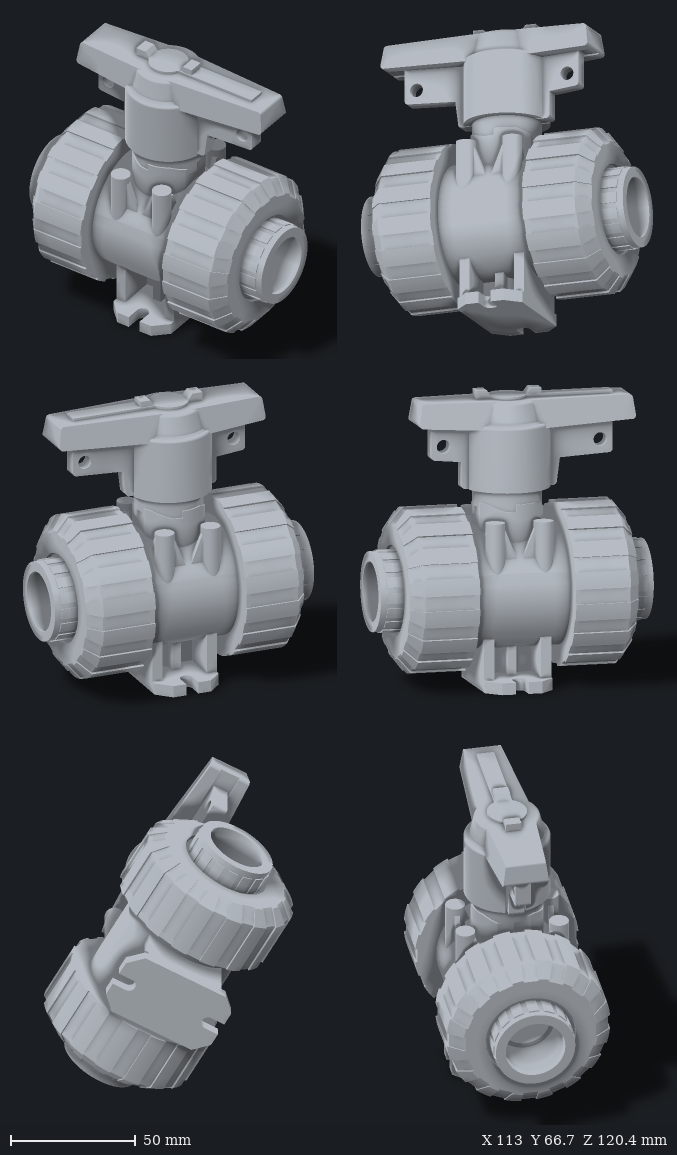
import cadquery as cq
import math


HALF_LENGTH = 56.5
NUT_INNER_X = 19.9
NUT_OUTER_X = 47.3
HOUSING_END_X = 36.1
FLANGE_THICKNESS = 4.8
FLANGE_END_X = HOUSING_END_X + FLANGE_THICKNESS

BARREL_R = 24.8
BORE_R = 10.1

FOOT_BOTTOM_Z = -40.1
FOOT_PLATE_THICKNESS = 4.8
FOOT_HALF_X = 14.0
FOOT_HALF_Y = 24.1
FOOT_CORNER = 5.8
FOOT_SLOT_R = 2.6
FOOT_SLOT_CENTRE_Y = 18.1
FOOT_WALL_THICKNESS = 4.3
FOOT_WALL_HALF_Y = 16.4
FOOT_PANEL_THICKNESS = 2.4
FOOT_BOSS_R = 4.2
FOOT_RIB_THICKNESS = 3.6
FOOT_RIB_HALF_Y = 8.2

NECK_R = 14.7
NECK_HALF_X = 13.0
NECK_TOP_Z = 35.3
RAMP_DROP = 2.9
RAMP_COUNT = 4
RAMP_START_ANGLE = 37.0
RAMP_END_ANGLE = 73.0
RAMP_STEP_ANGLE = 360.0 / RAMP_COUNT

STEM_R = 14.0
STEM_TOP_Z = 51.9
STEM_LOW_Z = 29.9
STEM_HIGH_Z = 33.2

POST_R = 4.0
POST_X = 10.0
POST_Y = 19.1
POST_TOP_Z = 29.3
GUSSET_THICKNESS = 2.2
GUSSET_TOP_Z = 26.1
GUSSET_SLOPE = 2.45
SIDE_GUSSET_X = 11.8

NUT_R = 33.5
NUT_CHAMFER_X = 4.8
NUT_CHAMFER_R = 6.0
NUT_SLOT_COUNT = 16
NUT_SLOT_WIDTH = 6.1
NUT_SLOT_FLOOR = 32.5
NUT_HOLE_R = 18.4

CONNECTOR_R = 16.3
CONNECTOR_BORE_R = 12.2
COLLAR_R = 18.1
COLLAR_END_X = NUT_OUTER_X - 1.2
PAD_COUNT = 16
PAD_ANGLE = 15.0
PAD_HEIGHT = 0.5
PAD_END_X = 53.7

HUB_R = 17.5
HUB_BOTTOM_Z = 40.5
HUB_SHOULDER_Z = 65.9
HUB_SHOULDER_ROUND = 1.5
CONE_BOTTOM_R = 15.0
CONE_BOTTOM_Z = 68.2
CONE_TOP_R = 13.0
CONE_TOP_ROUND = 1.7
HUB_SLOT_HALF_Y = 4.2
HUB_SLOT_TOP_Z = 67.5

LEVER_TOP_Z = 76.7
LEVER_BASE_Z = 64.8
LEVER_END_Z = 67.0
LEVER_DRAFT = 8.2
LEVER_LEFT_X = -38.9
LEVER_RIGHT_X = 51.7
LEVER_LEFT_HALF_Y = 9.8
LEVER_MIDDLE_HALF_Y = 12.4
LEVER_RIGHT_HALF_Y = 9.2
LEVER_END_ROUND = 1.5

CAP_R = 8.1
CAP_TOP_Z = 77.9
STRIP_END_X = 43.0
STRIP_HALF_Y = 3.6
LUG_TOP_Z = 80.3
LUG_INNER_X = 7.3
LUG_FLAT_X = 9.2
LUG_OUTER_X = 13.5
LUG_HALF_Y = 3.1

WEB_HALF_Y = 3.1
WEB_LEFT_X = -32.0
WEB_RIGHT_X = 42.9
WEB_TOP_Z = HUB_SLOT_TOP_Z + 1.2
WEB_END_Z = 52.7
WEB_STEP_Z = 51.5
WEB_LEG_LEFT_X = -19.5
WEB_LEG_RIGHT_X = 21.1
WEB_FOOT_RIGHT_X = 19.6
WEB_ROUND = 1.5
HOLE_R = 2.8
HOLE_Z = 58.2
HOLE_LEFT_X = -27.1
HOLE_RIGHT_X = 37.8


def block(x0, x1, y0, y1, z0, z1):
    """Box between two opposite corners."""
    return cq.Workplane("XY").box(x1 - x0, y1 - y0, z1 - z0, centered=False).translate((x0, y0, z0))


def post(radius, z0, z1, x=0, y=0):
    """Upright cylinder."""
    return cq.Workplane("XY").center(x, y).circle(radius).extrude(z1 - z0).translate((0, 0, z0))


def pipe_cylinder(radius, x0, x1):
    """Cylinder on the pipe axis."""
    return cq.Workplane("YZ").circle(radius).extrude(x1 - x0).translate((x0, 0, 0))



def make_foot():
    plate_top = FOOT_BOTTOM_Z + FOOT_PLATE_THICKNESS
    foot = block(-FOOT_HALF_X, FOOT_HALF_X, -FOOT_HALF_Y, FOOT_HALF_Y, FOOT_BOTTOM_Z, plate_top)
    foot = foot.edges("|Z").chamfer(FOOT_CORNER)
    for side in (-1, 1):
        slot_ends = sorted((side * FOOT_SLOT_CENTRE_Y, side * FOOT_HALF_Y))
        foot = foot.cut(post(FOOT_SLOT_R, FOOT_BOTTOM_Z, plate_top, 0, side * FOOT_SLOT_CENTRE_Y))
        foot = foot.cut(block(-FOOT_SLOT_R, FOOT_SLOT_R, *slot_ends, FOOT_BOTTOM_Z, plate_top))
    wall_inner_x = FOOT_HALF_X - FOOT_WALL_THICKNESS
    for x0 in (-FOOT_HALF_X, wall_inner_x):
        x1 = x0 + FOOT_WALL_THICKNESS
        foot = foot.union(block(x0, x1, -FOOT_WALL_HALF_Y, FOOT_WALL_HALF_Y, plate_top, 0))
    half_panel = FOOT_PANEL_THICKNESS / 2
    half_rib = FOOT_RIB_THICKNESS / 2
    foot = foot.union(block(-wall_inner_x, wall_inner_x, -half_panel, half_panel, plate_top, 0))
    foot = foot.union(block(-half_rib, half_rib, -FOOT_RIB_HALF_Y, FOOT_RIB_HALF_Y, plate_top, 0))
    return foot.union(post(FOOT_BOSS_R, plate_top, 0))


def neck_ramp():
    """Cutter for one quarter of the neck rim, starting at -Y: a slope, a low flat, then an upright step."""
    outer = 2 * NECK_R
    low_z = NECK_TOP_Z - RAMP_DROP

    flat_points = [(0, 0)]
    for angle in (RAMP_END_ANGLE, RAMP_STEP_ANGLE):
        turn = math.radians(angle - 90)
        flat_points.append((outer * math.cos(turn), outer * math.sin(turn)))
    flat = cq.Workplane("XY").polyline(flat_points).close().extrude(RAMP_DROP).translate((0, 0, low_z))

    slope_angle = (RAMP_START_ANGLE + RAMP_END_ANGLE) / 2 - 90
    half_span = NECK_R * math.sin(math.radians((RAMP_END_ANGLE - RAMP_START_ANGLE) / 2))
    slope = (
        cq.Workplane("YZ")
        .polyline([(-half_span, NECK_TOP_Z), (half_span, low_z), (half_span, NECK_TOP_Z)])
        .close()
        .extrude(outer)
        .rotate((0, 0, 0), (0, 0, 1), slope_angle)
    )
    return slope.union(flat)


def make_neck():
    neck = post(NECK_R, 0, NECK_TOP_Z)
    ramp = neck_ramp()
    for i in range(RAMP_COUNT):
        neck = neck.cut(ramp.rotate((0, 0, 0), (0, 0, 1), i * RAMP_STEP_ANGLE))
    return neck.intersect(block(-NECK_HALF_X, NECK_HALF_X, -NECK_R, NECK_R, 0, NECK_TOP_Z))


def make_stem():
    """Round stem whose lower end drops further on two opposite quarters beside the neck flats."""
    lower_end = post(STEM_R, STEM_LOW_Z, STEM_HIGH_Z)
    left_quarter = block(-STEM_R, -NECK_HALF_X, 0, STEM_R, STEM_LOW_Z, STEM_HIGH_Z)
    right_quarter = block(NECK_HALF_X, STEM_R, -STEM_R, 0, STEM_LOW_Z, STEM_HIGH_Z)
    core_walls = block(-NECK_HALF_X, NECK_HALF_X, -STEM_R, STEM_R, 0, STEM_HIGH_Z)
    stem = post(STEM_R, STEM_HIGH_Z, STEM_TOP_Z).union(post(STEM_R, 0, STEM_HIGH_Z).intersect(core_walls))
    return stem.union(lower_end.intersect(left_quarter)).union(lower_end.intersect(right_quarter))


def make_post_with_gussets():
    """Post at +X +Y with one gusset toward the YZ plane and one toward the XZ plane."""
    run = GUSSET_TOP_Z / GUSSET_SLOPE

    def gusset(plane, centre, offset):
        face = centre - POST_R
        return (
            cq.Workplane(plane)
            .polyline([(centre, 0), (centre, GUSSET_TOP_Z), (face, GUSSET_TOP_Z), (face - run, 0)])
            .close()
            .extrude(GUSSET_THICKNESS / 2, both=True)
            .translate(offset)
        )

    across = gusset("XZ", POST_X, (0, POST_Y, 0))
    inward = gusset("YZ", POST_Y, (SIDE_GUSSET_X, 0, 0))
    return post(POST_R, 0, POST_TOP_Z, POST_X, POST_Y).union(across).union(inward)


def make_housing():
    housing = pipe_cylinder(BARREL_R, -HOUSING_END_X, HOUSING_END_X)
    housing = housing.union(make_foot()).union(make_neck()).union(make_stem())
    corner = make_post_with_gussets()
    for pair in (corner, corner.mirror("YZ")):
        housing = housing.union(pair).union(pair.mirror("XZ"))
    return housing.cut(pipe_cylinder(BORE_R, -HOUSING_END_X, HOUSING_END_X))



def make_nut():
    """Nut on the +X side with chamfered outer end and flat-bottomed grip slots."""
    chamfer_x = NUT_OUTER_X - NUT_CHAMFER_X
    nut = (
        cq.Workplane("XY")
        .polyline([
            (NUT_INNER_X, BARREL_R),
            (NUT_INNER_X, NUT_R),
            (chamfer_x, NUT_R),
            (NUT_OUTER_X, NUT_R - NUT_CHAMFER_R),
            (NUT_OUTER_X, NUT_HOLE_R),
            (FLANGE_END_X, NUT_HOLE_R),
            (FLANGE_END_X, BARREL_R),
        ])
        .close()
        .revolve(360, (0, 0), (1, 0))
    )
    slot = (
        cq.Workplane("XZ")
        .polyline([
            (NUT_INNER_X, NUT_SLOT_FLOOR),
            (chamfer_x, NUT_SLOT_FLOOR),
            (NUT_OUTER_X, NUT_SLOT_FLOOR - NUT_CHAMFER_R),
            (NUT_OUTER_X, NUT_R),
            (NUT_INNER_X, NUT_R),
        ])
        .close()
        .extrude(NUT_SLOT_WIDTH / 2, both=True)
    )
    for i in range(NUT_SLOT_COUNT):
        nut = nut.cut(slot.rotate((0, 0, 0), (1, 0, 0), i * 360 / NUT_SLOT_COUNT))
    return nut



def make_connector():
    """Socket end on the +X side: flange held by the nut, collar, and grip pads around the tube."""
    connector = pipe_cylinder(BARREL_R, HOUSING_END_X, FLANGE_END_X)
    connector = connector.union(pipe_cylinder(COLLAR_R, FLANGE_END_X, COLLAR_END_X))
    connector = connector.union(pipe_cylinder(CONNECTOR_R, COLLAR_END_X, HALF_LENGTH))
    pad = (
        cq.Workplane("XY")
        .polyline([
            (COLLAR_END_X, CONNECTOR_BORE_R),
            (COLLAR_END_X, CONNECTOR_R + PAD_HEIGHT),
            (PAD_END_X, CONNECTOR_R + PAD_HEIGHT),
            (PAD_END_X, CONNECTOR_BORE_R),
        ])
        .close()
        .revolve(PAD_ANGLE, (0, 0), (1, 0))
        .rotate((0, 0, 0), (1, 0, 0), -PAD_ANGLE / 2)
    )
    for i in range(PAD_COUNT):
        connector = connector.union(pad.rotate((0, 0, 0), (1, 0, 0), i * 360 / PAD_COUNT))
    return connector.cut(pipe_cylinder(CONNECTOR_BORE_R, HOUSING_END_X, HALF_LENGTH))



def make_hub():
    round_mid = HUB_SHOULDER_ROUND * (1 - math.sqrt(0.5))
    shoulder_top = HUB_SHOULDER_Z + HUB_SHOULDER_ROUND
    return (
        cq.Workplane("XZ")
        .moveTo(0, HUB_BOTTOM_Z)
        .lineTo(HUB_R, HUB_BOTTOM_Z)
        .lineTo(HUB_R, HUB_SHOULDER_Z)
        .threePointArc(
            (HUB_R - round_mid, shoulder_top - round_mid),
            (HUB_R - HUB_SHOULDER_ROUND, shoulder_top),
        )
        .lineTo(CONE_BOTTOM_R, CONE_BOTTOM_Z)
        .lineTo(CONE_TOP_R, LEVER_TOP_Z)
        .lineTo(0, LEVER_TOP_Z)
        .close()
        .revolve(360, (0, 0), (0, 1))
        .edges(">Z")
        .fillet(CONE_TOP_ROUND)
    )


def make_lever():
    """Drafted bar, widest over the stem, with an underside rising toward both ends."""
    lever = (
        cq.Workplane("XY")
        .polyline([
            (LEVER_LEFT_X, -LEVER_LEFT_HALF_Y),
            (0, -LEVER_MIDDLE_HALF_Y),
            (LEVER_RIGHT_X, -LEVER_RIGHT_HALF_Y),
            (LEVER_RIGHT_X, LEVER_RIGHT_HALF_Y),
            (0, LEVER_MIDDLE_HALF_Y),
            (LEVER_LEFT_X, LEVER_LEFT_HALF_Y),
        ])
        .close()
        .extrude(LEVER_TOP_Z - LEVER_BASE_Z, taper=LEVER_DRAFT)
        .translate((0, 0, LEVER_BASE_Z))
    )
    for end_x in (LEVER_LEFT_X, LEVER_RIGHT_X):
        underside = (
            cq.Workplane("XZ")
            .polyline([(0, LEVER_BASE_Z), (end_x, LEVER_BASE_Z), (end_x, LEVER_END_Z)])
            .close()
            .extrude(LEVER_MIDDLE_HALF_Y, both=True)
        )
        lever = lever.cut(underside)
    for end_face in ("<X", ">X"):
        lever = lever.faces(end_face).edges("|Y").fillet(LEVER_END_ROUND)
    return lever


def make_web():
    web = (
        cq.Workplane("XZ")
        .polyline([
            (WEB_LEFT_X, WEB_TOP_Z),
            (WEB_LEFT_X, WEB_END_Z),
            (WEB_LEG_LEFT_X, WEB_STEP_Z),
            (WEB_LEG_LEFT_X, HUB_BOTTOM_Z),
            (WEB_FOOT_RIGHT_X, HUB_BOTTOM_Z),
            (WEB_LEG_RIGHT_X, WEB_STEP_Z),
            (WEB_RIGHT_X, WEB_END_Z),
            (WEB_RIGHT_X, WEB_TOP_Z),
        ])
        .close()
        .extrude(WEB_HALF_Y, both=True)
    )
    web = web.faces("<Z").edges("|Y").fillet(WEB_ROUND)
    web = web.faces("<X or >X").edges("|Y and <Z").fillet(WEB_ROUND)
    for x in (HOLE_LEFT_X, HOLE_RIGHT_X):
        hole = cq.Workplane("XZ").center(x, HOLE_Z).circle(HOLE_R).extrude(WEB_HALF_Y, both=True)
        web = web.cut(hole)
    return web


def make_lug():
    """Pointer lug on the +X side of the cap, sloped on its inner side."""
    return (
        cq.Workplane("XZ")
        .polyline([
            (LUG_INNER_X, LEVER_TOP_Z),
            (LUG_INNER_X, CAP_TOP_Z),
            (LUG_FLAT_X, LUG_TOP_Z),
            (LUG_OUTER_X, LUG_TOP_Z),
            (LUG_OUTER_X, LEVER_TOP_Z),
        ])
        .close()
        .extrude(LUG_HALF_Y, both=True)
    )


def make_handle():
    handle = make_hub().union(make_lever())
    handle = handle.cut(block(
        LEVER_LEFT_X, LEVER_RIGHT_X, -HUB_SLOT_HALF_Y, HUB_SLOT_HALF_Y, HUB_BOTTOM_Z, HUB_SLOT_TOP_Z
    ))
    handle = handle.union(make_web())
    handle = handle.cut(post(STEM_R, HUB_BOTTOM_Z, STEM_TOP_Z))
    handle = handle.union(post(CAP_R, LEVER_TOP_Z, CAP_TOP_Z))
    handle = handle.union(block(0, STRIP_END_X, -STRIP_HALF_Y, STRIP_HALF_Y, LEVER_TOP_Z, CAP_TOP_Z))
    lug = make_lug()
    return handle.union(lug).union(lug.mirror("YZ"))



housing = make_housing()
handle = make_handle()
nuts = []
connectors = []
for turn in (0, 180):
    nuts.append(make_nut().rotate((0, 0, 0), (0, 0, 1), turn))
    connectors.append(make_connector().rotate((0, 0, 0), (0, 0, 1), turn))

result = cq.Compound.makeCompound([
    housing.val(),
    handle.val(),
    *[nut.val() for nut in nuts],
    *[connector.val() for connector in connectors],
])